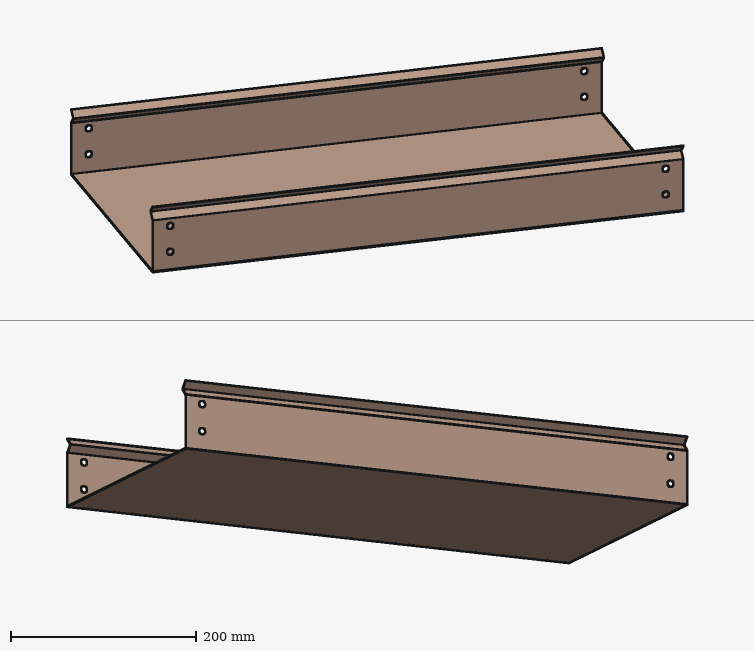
import cadquery as cq
import math

length = 600.0
width = 297.5
height = 76.0
sheet = 1.0

wall_height = 60.5

hole_diameter = 7.0
hole_end_distance = 20.0
hole_heights = (21.5, 51.5)

half_width = width / 2
sheet_diagonal = sheet * math.sqrt(2)
bend_shift = sheet * math.tan(math.pi / 8)
edge_step = sheet / math.sqrt(2)
fold_z = (wall_height + height - edge_step) / 2


def side_section():
    """Points of the right half section, from the outer bottom corner round to the floor."""
    outer_fold_x = half_width - (fold_z - wall_height)
    inner_fold_x = outer_fold_x - sheet_diagonal
    return [
        (half_width, 0),
        (half_width, wall_height),
        (outer_fold_x, fold_z),
        (half_width, height - edge_step),
        (half_width - edge_step, height),
        (inner_fold_x, fold_z),
        (half_width - sheet, wall_height - bend_shift),
        (half_width - sheet, sheet),
    ]


def make_tray():
    """Extrude the bent sheet section along Y, centred on the origin."""
    right = side_section()
    left = [(-x, z) for x, z in reversed(right)]
    profile = cq.Workplane("XZ").polyline(right + left).close()
    return profile.extrude(length / 2, both=True)


def make_hole_cutters():
    """Pins along X that pass through both side walls."""
    hole_y = length / 2 - hole_end_distance
    centers = [(y, z) for y in (-hole_y, hole_y) for z in hole_heights]
    pins = cq.Workplane("YZ").pushPoints(centers).circle(hole_diameter / 2)
    return pins.extrude(width, both=True)


result = make_tray().cut(make_hole_cutters())